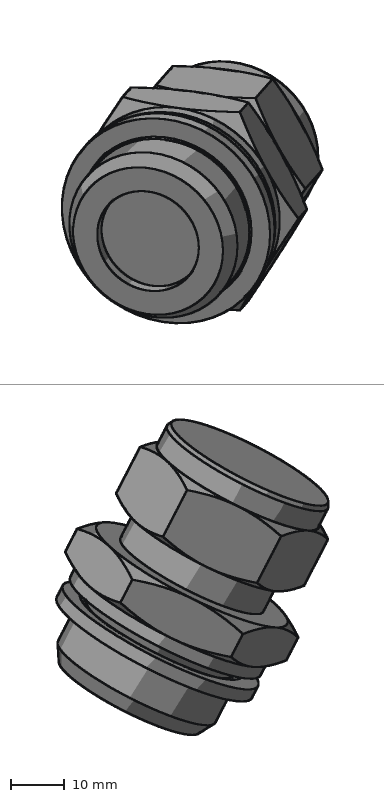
import cadquery as cq
import math

total_length = 50.0

thread_radius = 16.55
thread_end = 10.0
lead_length = 3.1
lead_radius = 14.75
bore_radius = 10.0
bore_depth = 2.5

undercut_top_radius = 16.75
undercut_slope = math.tan(math.radians(30))

collar_radius = 20.0
collar_start = 15.0
body_hex_start = 17.5
body_hex_end = 26.0
body_hex_flats = 40.0

neck_radius = 15.0
cap_hex_start = 32.0
cap_hex_end = 45.0
cap_hex_flats = 34.0
neck_groove_radius = 15.6
neck_groove_depth = 1.5
cap_radius = 16.9
cap_bevel_length = 0.9
cap_bevel_depth = 0.5
hex_chamfer_angle = 30.0

washer_start = 10.4
washer_thickness = 2.6
washer_radius = 20.5
washer_hole_radius = 16.85


def cylinder(radius, start, end):
    """Solid cylinder on the Y axis between two stations."""
    return cq.Workplane("XZ", origin=(0, start, 0)).circle(radius).extrude(start - end)


def revolved(points):
    """Closed (radius, y) outline turned around the Y axis."""
    return cq.Workplane("XY").polyline(points).close().revolve(360, (0, 0, 0), (0, 1, 0))


def chamfered_hexagon(flats, start, end):
    """Hexagon with corners on the X axis and conical chamfers on both ends."""
    corner_radius = flats / 2 / math.cos(math.pi / 6)
    flat_radius = flats / 2
    drop = (corner_radius - flat_radius) * math.tan(math.radians(hex_chamfer_angle))
    prism = (
        cq.Workplane("XZ", origin=(0, start, 0))
        .polygon(6, 2 * corner_radius)
        .extrude(start - end)
    )
    envelope = revolved([
        (0, start),
        (flat_radius, start),
        (corner_radius, start + drop),
        (corner_radius, end - drop),
        (flat_radius, end),
        (0, end),
    ])
    return prism.intersect(envelope)


def make_threaded_end():
    """Tapered tip, thread and V undercut up to the collar."""
    undercut_middle = (thread_end + collar_start) / 2
    undercut_radius = undercut_top_radius - (collar_start - undercut_middle) * undercut_slope
    return revolved([
        (0, 0),
        (lead_radius, 0),
        (thread_radius, lead_length),
        (thread_radius, thread_end),
        (undercut_radius, undercut_middle),
        (undercut_top_radius, collar_start),
        (0, collar_start),
    ])


def make_neck_groove():
    """Ring to cut from the lower face of the cap hexagon, around the neck."""
    groove_end = cap_hex_start + neck_groove_depth
    ring = cylinder(neck_groove_radius, cap_hex_start, groove_end)
    return ring.cut(cylinder(neck_radius, cap_hex_start, groove_end))


def make_cap():
    """Round cap with a bevelled outer rim."""
    return revolved([
        (0, cap_hex_end),
        (cap_radius, cap_hex_end),
        (cap_radius, total_length - cap_bevel_length),
        (cap_radius - cap_bevel_depth, total_length),
        (0, total_length),
    ])


def make_gland():
    """Gland body with its hexagons, neck, cap and blind bore."""
    return (
        make_threaded_end()
        .union(cylinder(collar_radius, collar_start, body_hex_start))
        .union(chamfered_hexagon(body_hex_flats, body_hex_start, body_hex_end))
        .union(cylinder(neck_radius, body_hex_end, cap_hex_start))
        .union(chamfered_hexagon(cap_hex_flats, cap_hex_start, cap_hex_end))
        .union(make_cap())
        .cut(make_neck_groove())
        .cut(cylinder(bore_radius, 0, bore_depth))
    )


def make_washer():
    """Flat ring around the undercut, clear of the thread."""
    washer_end = washer_start + washer_thickness
    ring = cylinder(washer_radius, washer_start, washer_end)
    return ring.cut(cylinder(washer_hole_radius, washer_start, washer_end))


gland = make_gland()
washer = make_washer()
result = cq.Compound.makeCompound([gland.val(), washer.val()])